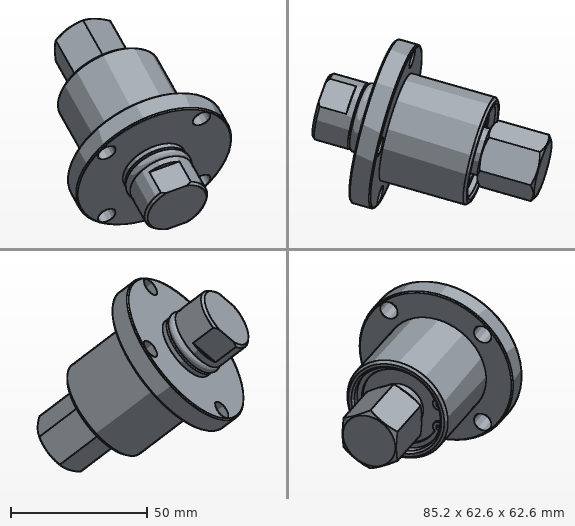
import cadquery as cq
import math


TOTAL_LENGTH = 85.2
HEX_LENGTH = 22.0
BARREL_START = 23.2
FLANGE_START = 56.6
FLANGE_END = 64.9
GROOVE_START = 66.8
GROOVE_END = 71.3
FLATS_START = 74.0

HEX_ACROSS_FLATS = 22.0
HEX_END_DIAMETER = 21.3
HEX_CHAMFER_ANGLE = 30.0
SHAFT_DIAMETER = 17.8

BARREL_DIAMETER = 41.1
BARREL_CHAMFER = 1.0
RECESS_DIAMETER = 35.0
RECESS_CHAMFER = 0.85
RECESS_DEPTH = 4.3

RING_INNER_DIAMETER = 31.2
RING_THICKNESS = 1.2
LUG_DIAMETER = 4.7
LUG_HOLE_DIAMETER = 2.0
LUG_PITCH_RADIUS = 16.45
LUG_HALF_ANGLE = 17.7

FLANGE_DIAMETER = 62.65
FLANGE_CHAMFER = 0.5
BOLT_HOLE_DIAMETER = 7.1
BOLT_CIRCLE_DIAMETER = 54.0
BOLT_COUNT = 4
FIRST_BOLT_ANGLE = 45.0

SPIGOT_DIAMETER = 25.3
SPIGOT_CHAMFER_LENGTH = 1.0
SPIGOT_CHAMFER_DEPTH = 0.85
GROOVE_DIAMETER = 19.3
ACROSS_WRENCH_FLATS = 22.25

SEAL_SECTION_DIAMETER = 3.6


def cylinder(diameter, start, end):
    """Cylinder about the X axis between two axial positions."""
    return cq.Workplane("YZ", origin=(start, 0, 0)).circle(diameter / 2).extrude(end - start)


def make_hex():
    """Hexagonal end with corners up and down, both ends turned to a cone."""
    corner_radius = HEX_ACROSS_FLATS / math.sqrt(3)
    end_radius = HEX_END_DIAMETER / 2
    cone_length = (corner_radius - end_radius) * math.tan(math.radians(HEX_CHAMFER_ANGLE))
    prism = (
        cq.Workplane("YZ")
        .polygon(6, 2 * corner_radius)
        .extrude(HEX_LENGTH)
        .rotate((0, 0, 0), (1, 0, 0), 90)
    )
    turned_blank = (
        cq.Workplane("XY")
        .moveTo(0, 0)
        .lineTo(0, end_radius)
        .lineTo(cone_length, corner_radius)
        .lineTo(HEX_LENGTH - cone_length, corner_radius)
        .lineTo(HEX_LENGTH, end_radius)
        .lineTo(HEX_LENGTH, 0)
        .close()
        .revolve(360, (0, 0, 0), (1, 0, 0))
    )
    return prism.intersect(turned_blank)


def make_barrel():
    """Chamfered barrel, recessed at its open end."""
    recess_floor = BARREL_START + RECESS_DEPTH
    barrel = cylinder(BARREL_DIAMETER, BARREL_START, FLANGE_START).faces("<X").chamfer(BARREL_CHAMFER)
    recess = cylinder(RECESS_DIAMETER, BARREL_START, recess_floor)
    recess_mouth = cq.selectors.RadiusNthSelector(0)
    return barrel.cut(recess).faces("<X").edges(recess_mouth).chamfer(RECESS_CHAMFER)


def make_retaining_ring():
    """Open ring on the recess floor with two drilled lugs beside its gap at -Y."""
    ring_end = BARREL_START + RECESS_DEPTH
    ring_start = ring_end - RING_THICKNESS
    lug_centers = [
        (
            -LUG_PITCH_RADIUS * math.cos(math.radians(angle)),
            LUG_PITCH_RADIUS * math.sin(math.radians(angle)),
        )
        for angle in (-LUG_HALF_ANGLE, LUG_HALF_ANGLE)
    ]
    plane = cq.Workplane("YZ", origin=(ring_start, 0, 0))
    gap_reach = RECESS_DIAMETER
    gap_half_width = gap_reach * math.tan(math.radians(LUG_HALF_ANGLE))
    gap = (
        plane.polyline([(0, 0), (-gap_reach, -gap_half_width), (-gap_reach, gap_half_width)])
        .close()
        .extrude(RING_THICKNESS)
    )
    band = cylinder(RECESS_DIAMETER, ring_start, ring_end).cut(
        cylinder(RING_INNER_DIAMETER, ring_start, ring_end)
    )
    lugs = plane.pushPoints(lug_centers).circle(LUG_DIAMETER / 2).extrude(RING_THICKNESS)
    lugs = lugs.intersect(cylinder(RECESS_DIAMETER, ring_start, ring_end))
    holes = plane.pushPoints(lug_centers).circle(LUG_HOLE_DIAMETER / 2).extrude(RING_THICKNESS)
    return band.cut(gap).union(lugs).cut(holes)


def make_flange():
    """Round flange with chamfered rims and bolt holes on its diagonals."""
    flange = cylinder(FLANGE_DIAMETER, FLANGE_START, FLANGE_END).edges().chamfer(FLANGE_CHAMFER)
    holes = (
        cq.Workplane("YZ", origin=(FLANGE_START, 0, 0))
        .polarArray(BOLT_CIRCLE_DIAMETER / 2, FIRST_BOLT_ANGLE, 360, BOLT_COUNT)
        .circle(BOLT_HOLE_DIAMETER / 2)
        .extrude(FLANGE_END - FLANGE_START)
    )
    return flange.cut(holes)


def make_spigot():
    """Spigot with a chamfered tip, a seal groove and two flats facing up and down."""
    spigot = (
        cylinder(SPIGOT_DIAMETER, FLANGE_END, TOTAL_LENGTH)
        .faces(">X")
        .chamfer(SPIGOT_CHAMFER_LENGTH, SPIGOT_CHAMFER_DEPTH)
    )
    groove = cylinder(SPIGOT_DIAMETER, GROOVE_START, GROOVE_END).cut(
        cylinder(GROOVE_DIAMETER, GROOVE_START, GROOVE_END)
    )
    flats_length = TOTAL_LENGTH - FLATS_START
    flats_middle = cq.Workplane("XY", origin=(FLATS_START + flats_length / 2, 0, 0))
    full_block = flats_middle.box(flats_length, SPIGOT_DIAMETER, SPIGOT_DIAMETER)
    kept_block = flats_middle.box(flats_length, SPIGOT_DIAMETER, ACROSS_WRENCH_FLATS)
    return spigot.cut(groove).cut(full_block.cut(kept_block))


def make_union_body():
    """Hex, shaft, barrel, retaining ring, flange and spigot as one solid."""
    shaft = cylinder(SHAFT_DIAMETER, HEX_LENGTH, FLANGE_START)
    body = make_barrel().union(shaft).union(make_hex())
    return body.union(make_retaining_ring()).union(make_flange()).union(make_spigot())


def make_o_ring():
    """O-ring resting on the groove floor, centred between the groove walls."""
    ring_radius = (GROOVE_DIAMETER + SEAL_SECTION_DIAMETER) / 2
    groove_middle = (GROOVE_START + GROOVE_END) / 2
    return (
        cq.Workplane("XY")
        .center(groove_middle, ring_radius)
        .circle(SEAL_SECTION_DIAMETER / 2)
        .revolve(360, (0, -ring_radius, 0), (1, -ring_radius, 0))
    )


union_body = make_union_body()
o_ring = make_o_ring()
result = cq.Compound.makeCompound([union_body.val(), o_ring.val()])